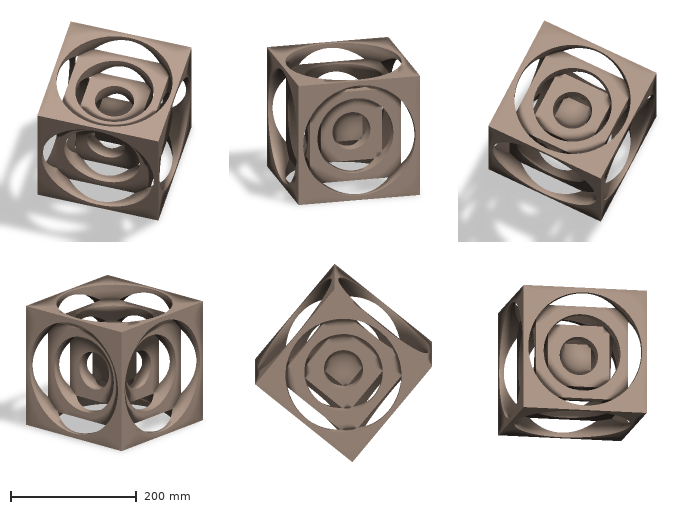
import cadquery as cq

cube_size = 200.0
level_step = cube_size / 8
bore_diameters = [185.0, 125.0, 62.5]


def stepped_bore():
    """Concentric bores entering the +Z face, each ending on the next cube's face."""
    face_height = cube_size / 2
    cutter = None
    for level, diameter in enumerate(bore_diameters):
        floor_height = face_height - (level + 1) * level_step
        bore = (
            cq.Workplane("XY")
            .workplane(offset=floor_height)
            .circle(diameter / 2)
            .extrude(face_height - floor_height)
        )
        cutter = cutter.union(bore) if cutter else bore
    return cutter


def bore_all_faces(body):
    """Cut the same stepped bore into all six faces."""
    top_bore = stepped_bore()
    for angle in (0, 90, 180, 270):
        body = body.cut(top_bore.rotate((0, 0, 0), (1, 0, 0), angle))
    for angle in (90, 270):
        body = body.cut(top_bore.rotate((0, 0, 0), (0, 1, 0), angle))
    return body


result = bore_all_faces(cq.Workplane("XY").box(cube_size, cube_size, cube_size))